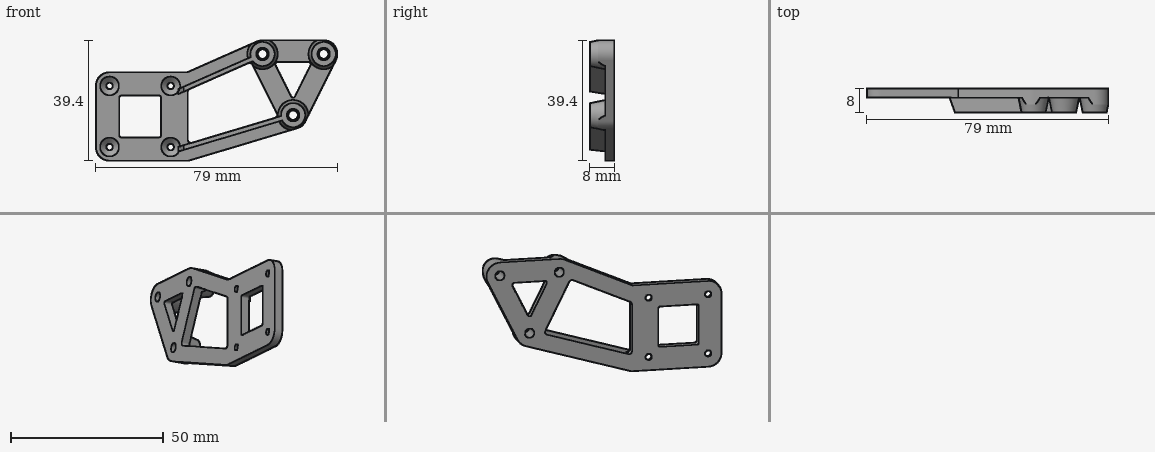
import cadquery as cq
import math

plate_thickness = 3.0
total_depth = 8.0
boss_height = total_depth - plate_thickness

overall_length = 79.0
overall_height = 39.4
corner_radius = 4.5
hole_pitch = 20.0
plate_height = hole_pitch + 2 * corner_radius
arm_top_start_x = 29.95
arm_low_start_x = 30.3

plate_right_x = 30.1
square_opening = 13.6
opening_fillet = 0.6
arm_window_fillet = 1.0
screw_diameter = 2.05
screw_head_diameter = 6.2

arm_width = 5.4
rib_width = 1.5
rib_start_x = 27.0
rib_ramp = 1.8
top_bar_inner_offset = 2.7
strut_inner_offset = 2.2

boss_base_radius = 5.0
boss_tip_radius = 3.95
boss_bore = 3.1
bore_mouth = 4.1
bore_mouth_depth = 0.5

boss_right = (overall_length - corner_radius, overall_height - corner_radius)
boss_left = (boss_right[0] - hole_pitch, boss_right[1])
boss_low = (boss_right[0] - hole_pitch / 2, boss_right[1] - hole_pitch)
bosses = [boss_left, boss_right, boss_low]
plate_center = (plate_height / 2, plate_height / 2)
arm_top_start = (arm_top_start_x, plate_height)
arm_low_start = (arm_low_start_x, 0)


def shift(point, direction, distance):
    """Move a point along a direction angle."""
    return (point[0] + distance * math.cos(direction), point[1] + distance * math.sin(direction))


def angle_to(start, end):
    return math.atan2(end[1] - start[1], end[0] - start[0])


def tangent_angle(start, center, side):
    """Direction from start touching the corner circle, on its left (+1) or right (-1)."""
    return angle_to(start, center) + side * math.asin(corner_radius / math.dist(start, center))


def crossing(point_a, angle_a, point_b, angle_b):
    """Intersection of two lines, each given by a point and a direction angle."""
    dx = point_b[0] - point_a[0]
    dz = point_b[1] - point_a[1]
    along = (dx * math.sin(angle_b) - dz * math.cos(angle_b)) / math.sin(angle_b - angle_a)
    return shift(point_a, angle_a, along)


left = math.pi
up = math.pi / 2
down = -up
top_arm_angle = tangent_angle(arm_top_start, boss_left, 1)
low_arm_angle = tangent_angle(arm_low_start, boss_low, -1)
top_arm_inward = top_arm_angle + down
low_arm_inward = low_arm_angle + up
left_strut_angle = angle_to(boss_left, boss_low)
right_strut_angle = angle_to(boss_low, boss_right)


def round_corner(wire, center, start_normal, end_normal):
    """Line to the corner circle, then an arc between two outward normals."""
    middle = (start_normal + end_normal) / 2
    return wire.lineTo(*shift(center, start_normal, corner_radius)).threePointArc(
        shift(center, middle, corner_radius), shift(center, end_normal, corner_radius)
    )


def prism(points, depth):
    return cq.Workplane("XZ").polyline(points).close().extrude(depth)


def rounded_opening(points, radius=opening_fillet):
    return prism(points, total_depth).edges("|Y").fillet(radius)


def outer_profile():
    wire = cq.Workplane("XZ").moveTo(*arm_low_start)
    wire = round_corner(wire, boss_low, low_arm_angle + down, right_strut_angle + down)
    wire = round_corner(wire, boss_right, right_strut_angle + down, up)
    wire = round_corner(wire, boss_left, up, top_arm_angle + up)
    wire = wire.lineTo(*arm_top_start)
    wire = round_corner(wire, (corner_radius, plate_height - corner_radius), up, left)
    wire = round_corner(wire, (corner_radius, corner_radius), left, left + up)
    return wire.close().extrude(total_depth)


def arm_window():
    """Opening enclosed by the plate, the two arms and the left strut."""
    top = (shift(arm_top_start, top_arm_inward, arm_width), top_arm_angle)
    low = (shift(arm_low_start, low_arm_inward, arm_width), low_arm_angle)
    strut = (shift(boss_left, left_strut_angle + down, corner_radius), left_strut_angle)
    plate = ((plate_right_x, 0), up)
    return rounded_opening(
        [
            crossing(*plate, *low),
            crossing(*low, *strut),
            crossing(*strut, *top),
            crossing(*top, *plate),
        ],
        arm_window_fillet,
    )


def triangle_window():
    top = (shift(boss_left, down, top_bar_inner_offset), 0)
    left_side = (shift(boss_left, left_strut_angle + up, strut_inner_offset), left_strut_angle)
    right_side = (shift(boss_low, right_strut_angle + up, strut_inner_offset), right_strut_angle)
    return rounded_opening(
        [crossing(*top, *left_side), crossing(*left_side, *right_side), crossing(*right_side, *top)]
    )


def square_window():
    low = plate_center[0] - square_opening / 2
    high = low + square_opening
    return rounded_opening([(low, low), (high, low), (high, high), (low, high)])


def cone(center, front_radius, back_radius, front_depth, length):
    """Cone along Y whose front end lies front_depth ahead of the back face."""
    return cq.Workplane(
        cq.Solid.makeCone(
            front_radius,
            back_radius,
            length,
            pnt=cq.Vector(center[0], -front_depth, center[1]),
            dir=cq.Vector(0, 1, 0),
        )
    )


def rib(start, direction, inward, boss):
    """Wall along the inner edge of an arm, ending inside its boss."""
    inner = shift(start, inward, arm_width)
    outer = shift(start, inward, arm_width - rib_width)
    ends = [(boss, inward), ((0, 0), up)]
    corners = [crossing(inner, direction, *end) for end in ends]
    corners += [crossing(outer, direction, *end) for end in reversed(ends)]
    ramp = [
        (rib_start_x, -plate_thickness),
        (rib_start_x + rib_ramp, -total_depth),
        (overall_length, -total_depth),
        (overall_length, -plate_thickness),
    ]
    ramp_limit = cq.Workplane("XY").polyline(ramp).close().extrude(overall_height)
    return prism(corners, total_depth).intersect(ramp_limit)


frame = outer_profile().cut(arm_window()).cut(triangle_window()).cut(square_window())
plate_layer = cq.Workplane("XZ").rect(overall_length, overall_height, centered=False).extrude(plate_thickness)
result = frame.intersect(plate_layer)

sink_depth = (screw_head_diameter - screw_diameter) / 2
for x_side in (-1, 1):
    for z_side in (-1, 1):
        screw = (
            plate_center[0] + x_side * hole_pitch / 2,
            plate_center[1] + z_side * hole_pitch / 2,
        )
        result = result.cut(
            cone(screw, screw_head_diameter / 2, screw_diameter / 2, plate_thickness, sink_depth)
        )
        result = result.cut(
            cq.Workplane("XZ").center(*screw).circle(screw_diameter / 2).extrude(plate_thickness)
        )

for boss in bosses:
    taper = cone(boss, boss_tip_radius, boss_base_radius, total_depth, boss_height)
    result = result.union(taper.intersect(frame))

result = result.union(rib(arm_top_start, top_arm_angle, top_arm_inward, boss_left))
result = result.union(rib(arm_low_start, low_arm_angle, low_arm_inward, boss_low))

for boss in bosses:
    result = result.cut(cq.Workplane("XZ").center(*boss).circle(boss_bore / 2).extrude(total_depth))
    result = result.cut(cone(boss, bore_mouth / 2, boss_bore / 2, total_depth, bore_mouth_depth))